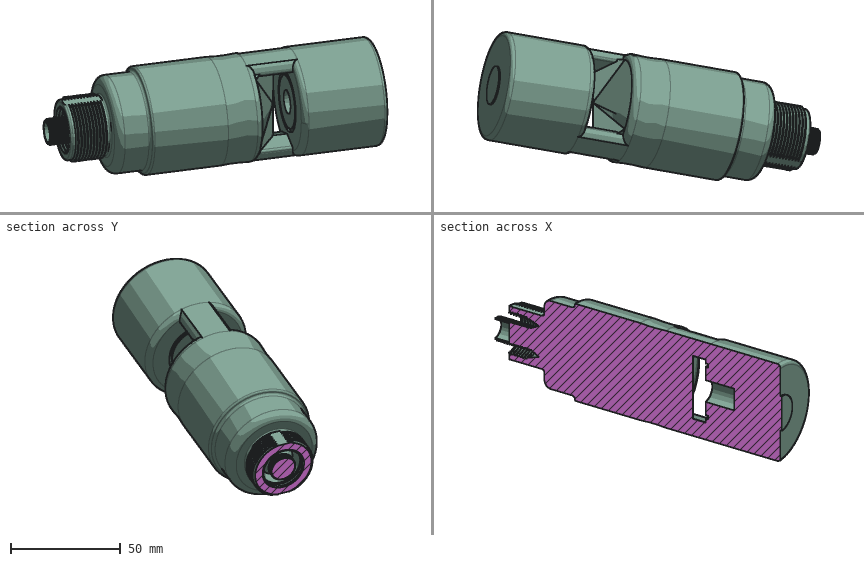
import cadquery as cq
import math


total_length = 155.5
body_radius = 25.0

pad_radius = 8.9
pad_height = 0.6
head_rear = total_length - pad_height
head_front = 114.2
head_rear_fillet = 1.9
head_front_fillet = 2.8
nozzle_hole_radius = 5.5
nozzle_hole_depth = 15.5
ring_groove_inner = 12.5
ring_groove_outer = 14.0
ring_groove_depth = 1.2

body_rear = 96.0
body_rear_fillet = 3.3
waist_front = 78.7
waist_radius = 24.7
step_position = 43.0
step_edge_fillet = 1.0
step_root_fillet = 1.2
nose_radius = 22.7
nose_front = 26.5
nose_fillet = 3.9

peak_position = 107.5
cone_base_radius = body_radius - body_rear_fillet

web_half_width = pad_radius
web_face_half_width = 6.8
web_side_outer = 19.8
web_side_inner = 19.6
web_inner_peak = 16.0
web_inner_round = 1.1
web_inner_edge = web_side_inner - web_inner_round

collar_front = 7.3
collar_crest_radius = 15.0
collar_root_radius = 14.0
collar_pitch = 1.5
collar_thread_start = 9.6
collar_thread_count = 10
collar_root_fillet = 0.8
collar_end_fillet = 1.0
flat_depth = 0.23
flat_height = collar_root_radius - flat_depth

well_radius = 9.6
well_thread_radius = 10.9
well_floor = 23.3
well_floor_radius = 8.0
well_floor_rise = 4.7
well_thread_start = collar_front - collar_pitch / 4
well_thread_count = 7

stud_crest_radius = 6.0
stud_root_radius = 5.5
stud_pitch = 1.0
stud_thread_start = 0.3
stud_thread_count = 19
stud_bore_radius = 4.7
stud_bore_depth = 12.5

overlap = 0.8


def cylinder(radius, start, end):
    """Solid cylinder on the Y axis between two Y positions."""
    return cq.Workplane("XZ", origin=(0, start, 0)).circle(radius).extrude(start - end)


def turned(outline):
    """Revolve a closed (radius, Y) outline about the Y axis."""
    return outline.close().revolve(360, (0, 0, 0), (0, 1, 0))


def arc_midpoint(center_radius, center_y, fillet, radial_sign, axial_sign):
    """Middle of a quarter-circle fillet, in the given diagonal direction from its center."""
    reach = fillet * math.sqrt(0.5)
    return (center_radius + radial_sign * reach, center_y + axial_sign * reach)


def thread_rings(base_radius, crest_radius, start, pitch, count):
    """Evenly spaced V-section rings standing out from, or into, a cylinder."""
    direction = math.copysign(1, crest_radius - base_radius)
    buried_radius = base_radius - direction * overlap / 2
    outline = cq.Workplane("XY").moveTo(buried_radius, start).lineTo(base_radius, start)
    for index in range(count):
        ring_start = start + index * pitch
        outline = outline.lineTo(crest_radius, ring_start + pitch / 2)
        outline = outline.lineTo(base_radius, ring_start + pitch)
    return turned(outline.lineTo(buried_radius, start + count * pitch))


def make_head():
    head = cylinder(body_radius, head_front, head_rear)
    head = head.faces(">Y").edges().fillet(head_rear_fillet)
    head = head.faces("<Y").edges().fillet(head_front_fillet)
    pad = cylinder(pad_radius, head_rear - overlap, total_length)
    hole = cylinder(nozzle_hole_radius, head_front, head_front + nozzle_hole_depth)
    groove_end = head_front + ring_groove_depth
    groove = cylinder(ring_groove_outer, head_front, groove_end)
    groove = groove.cut(cylinder(ring_groove_inner, head_front, groove_end))
    return head.union(pad).cut(hole).cut(groove)


def make_body():
    rear_tangent = body_rear - body_rear_fillet
    waist_middle = (rear_tangent + waist_front) / 2
    step_tangent = step_position + step_edge_fillet
    root_tangent = step_position - step_root_fillet
    nose_tangent = nose_front + nose_fillet
    edge_middle = arc_midpoint(body_radius - step_edge_fillet, step_tangent, step_edge_fillet, 1, -1)
    root_middle = arc_midpoint(nose_radius + step_root_fillet, root_tangent, step_root_fillet, -1, 1)
    nose_middle = arc_midpoint(nose_radius - nose_fillet, nose_tangent, nose_fillet, 1, -1)
    rear_middle = arc_midpoint(cone_base_radius, rear_tangent, body_rear_fillet, 1, 1)
    return turned(
        cq.Workplane("XY")
        .moveTo(0, nose_front)
        .lineTo(nose_radius - nose_fillet, nose_front)
        .threePointArc(nose_middle, (nose_radius, nose_tangent))
        .lineTo(nose_radius, root_tangent)
        .threePointArc(root_middle, (nose_radius + step_root_fillet, step_position))
        .lineTo(body_radius - step_edge_fillet, step_position)
        .threePointArc(edge_middle, (body_radius, step_tangent))
        .lineTo(body_radius, waist_front)
        .threePointArc((waist_radius, waist_middle), (body_radius, rear_tangent))
        .threePointArc(rear_middle, (cone_base_radius, body_rear))
        .lineTo(0, peak_position)
    )


def make_ridge():
    half_width = peak_position - body_rear
    ridge = (
        cq.Workplane("XY")
        .moveTo(-half_width, body_rear)
        .lineTo(0, peak_position)
        .lineTo(half_width, body_rear)
        .lineTo(half_width, body_rear - overlap)
        .lineTo(-half_width, body_rear - overlap)
        .close()
        .extrude(cone_base_radius, both=True)
    )
    return ridge.intersect(cylinder(cone_base_radius, body_rear - overlap, peak_position))


def make_web():
    """Web on the +Z side: rounded flanks outside, shallow V inside."""
    start = body_rear - body_rear_fillet
    end = head_front + head_front_fillet
    face_edge = math.sqrt(body_radius**2 - web_face_half_width**2)
    inner_width = web_half_width - web_inner_round
    inner_middle = arc_midpoint(inner_width, web_side_inner, web_inner_round, 1, -1)
    half_face_angle = math.asin(web_face_half_width / body_radius) / 2
    face_middle = (body_radius * math.sin(half_face_angle), body_radius * math.cos(half_face_angle))
    half_web = (
        cq.Workplane("XZ", origin=(0, start, 0))
        .moveTo(0, web_inner_peak)
        .lineTo(inner_width, web_inner_edge)
        .threePointArc(inner_middle, (web_half_width, web_side_inner))
        .lineTo(web_half_width, web_side_outer)
        .tangentArcPoint((web_face_half_width, face_edge), relative=False)
        .threePointArc(face_middle, (0, body_radius))
        .close()
        .extrude(start - end)
    )
    return half_web.union(half_web.mirror("YZ"))


def make_collar():
    end_tangent = collar_front + collar_end_fillet
    root_tangent = nose_front - collar_root_fillet
    flare_radius = collar_root_radius + collar_root_fillet
    end_radius = collar_root_radius - collar_end_fillet
    end_middle = arc_midpoint(end_radius, end_tangent, collar_end_fillet, 1, -1)
    flare_middle = arc_midpoint(flare_radius, root_tangent, collar_root_fillet, -1, 1)
    collar = turned(
        cq.Workplane("XY")
        .moveTo(0, collar_front)
        .lineTo(end_radius, collar_front)
        .threePointArc(end_middle, (collar_root_radius, end_tangent))
        .lineTo(collar_root_radius, root_tangent)
        .threePointArc(flare_middle, (flare_radius, nose_front))
        .lineTo(flare_radius, nose_front + overlap)
        .lineTo(0, nose_front + overlap)
    )
    rings = thread_rings(
        collar_root_radius, collar_crest_radius, collar_thread_start, collar_pitch, collar_thread_count
    )
    return collar.union(rings)


def make_collar_flats():
    """Cutters for the two flats that interrupt the collar thread at +Z and -Z."""
    length = nose_front - collar_root_fillet - collar_front
    depth = collar_crest_radius + overlap - flat_height
    cutter = cq.Workplane("XY", origin=(0, collar_front + length / 2, flat_height)).box(
        2 * collar_crest_radius, length, depth, centered=(True, True, False)
    )
    return cutter.union(cutter.mirror("XY"))


def make_well():
    """Ring-shaped well with a V-shaped floor, leaving the threaded stud at its center."""
    wall_end = well_floor - well_floor_rise
    well = turned(
        cq.Workplane("XY")
        .moveTo(stud_root_radius, collar_front)
        .lineTo(well_radius, collar_front)
        .lineTo(well_radius, wall_end)
        .lineTo(well_floor_radius, well_floor)
        .lineTo(stud_root_radius, wall_end)
    )
    rings = thread_rings(
        well_radius, well_thread_radius, well_thread_start, collar_pitch, well_thread_count
    )
    return well.union(rings)


def make_stud():
    stud = cylinder(stud_root_radius, 0, well_floor)
    rings = thread_rings(
        stud_root_radius, stud_crest_radius, stud_thread_start, stud_pitch, stud_thread_count
    )
    bore = cylinder(stud_bore_radius, 0, stud_bore_depth)
    return stud.union(rings).cut(bore)


web = make_web()
connector = make_collar().cut(make_collar_flats()).cut(make_well()).union(make_stud())
front_section = make_body().union(make_ridge()).union(connector)
result = front_section.union(web).union(web.mirror("XY")).union(make_head())